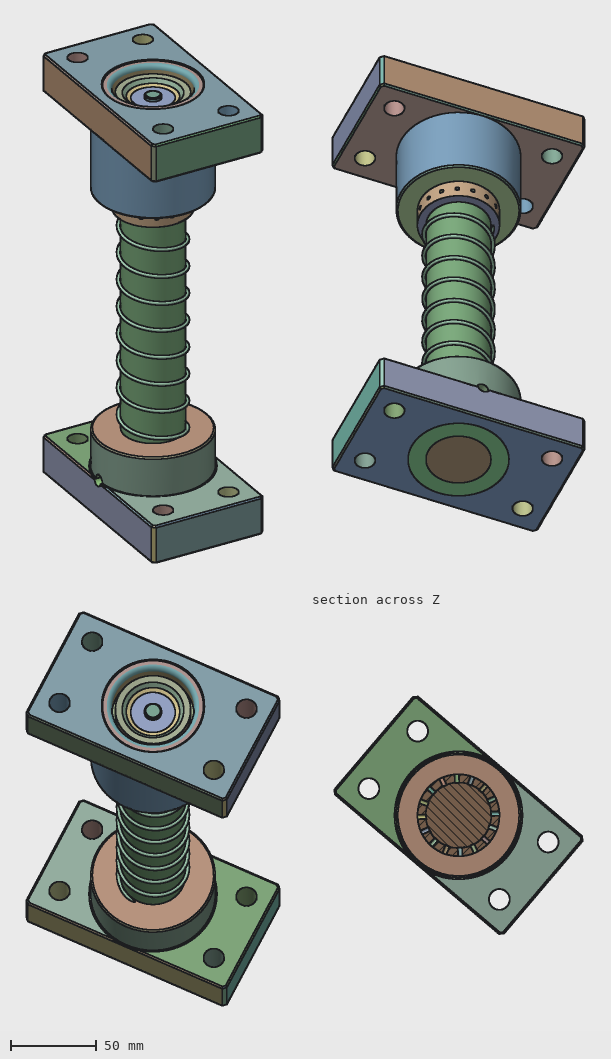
import cadquery as cq
import math


total_height = 278.96
plate_thickness = 25.0
upper_plate_bottom = total_height - plate_thickness
collar_top = 50.0
bushing_length = 45.0
bushing_bottom = upper_plate_bottom - bushing_length
cage_overhang = 12.2
cage_bottom = bushing_bottom - cage_overhang

plate_length = 130.0
plate_width = 75.0
plate_turn = -40.35
plate_corner_chamfer = 2.0
plate_edge_chamfer = 1.0
bolt_spacing_long = 100.0
bolt_spacing_short = 44.0
bolt_hole_diameter = 12.0
plate_bore_radius = 29.5
bore_edge_chamfer = 0.6

flange_radius = 36.4
flange_chamfer = 1.0
joint_recess_radius = 37.4
joint_recess_depth = 0.5
spigot_set_back = 0.6
bushing_bore_radius = 24.0
bushing_mouth_fillet = 3.0

locking_hole_diameter = 7.0
locking_hole_depth = 12.0

pillar_radius = 19.0

cage_radius = 24.0
cage_hole_count = 16
cage_hole_diameter = 2.4
cage_hole_height = 6.0
cage_hole_first_angle = 2.5

wire_radius = 1.1
spring_mean_radius = 20.25
spring_pitch = 17.95
spring_zero_height = 51.1

disc_radius = 22.0
disc_rim_radius = 18.0
disc_step_radius = 15.6
disc_floor_radius = 13.0
disc_set_back = 5.2
disc_rim_drop = 0.5
disc_step_drop = 2.3
disc_floor_drop = 1.0
disc_floor_thickness = 3.0
disc_top = total_height - disc_set_back
disc_rim = disc_top - disc_rim_drop
disc_step = disc_rim - disc_step_drop
disc_floor = disc_step - disc_floor_drop
disc_bottom = disc_floor - disc_floor_thickness
screw_head_radius = 5.0
screw_head_height = 2.3
screw_head_chamfer = 0.7
screw_shank_radius = 3.0
screw_length = 20.0


def cylinder(radius, bottom, top):
    return cq.Workplane("XY").workplane(offset=bottom).circle(radius).extrude(top - bottom)


def turned_to_plate(shape):
    return shape.rotate((0, 0, 0), (0, 0, 1), plate_turn)


def flange_plate(bottom):
    plate = (
        cq.Workplane("XY")
        .workplane(offset=bottom)
        .rect(plate_length, plate_width)
        .extrude(plate_thickness)
        .edges("|Z")
        .chamfer(plate_corner_chamfer)
        .faces("<Z or >Z")
        .chamfer(plate_edge_chamfer)
        .faces(">Z")
        .workplane(origin=(0, 0, 0))
        .rect(bolt_spacing_long, bolt_spacing_short, forConstruction=True)
        .vertices()
        .hole(bolt_hole_diameter)
    )
    top = bottom + plate_thickness
    plate = plate.cut(cylinder(plate_bore_radius, bottom, top))
    return turned_to_plate(plate)


def locking_hole():
    hole = (
        cq.Workplane("XZ", origin=(0, -plate_width / 2, plate_thickness))
        .circle(locking_hole_diameter / 2)
        .extrude(-locking_hole_depth)
    )
    return turned_to_plate(hole)


lower_seat = plate_thickness - joint_recess_depth
lower_plate = flange_plate(0)
lower_plate = lower_plate.cut(locking_hole())
lower_plate = lower_plate.cut(cylinder(joint_recess_radius, lower_seat, plate_thickness))

upper_plate = flange_plate(upper_plate_bottom)
upper_plate = upper_plate.faces(">Z").edges(cq.selectors.RadiusNthSelector(-1)).chamfer(bore_edge_chamfer)

collar = cylinder(flange_radius, lower_seat, collar_top)
collar = collar.faces(">Z").chamfer(flange_chamfer)
collar = collar.union(cylinder(plate_bore_radius, 0, lower_seat))
collar = collar.cut(cylinder(pillar_radius, 0, collar_top)).cut(locking_hole())

spigot_top = total_height - spigot_set_back
bushing = cylinder(flange_radius, bushing_bottom, upper_plate_bottom)
bushing = bushing.faces("<Z").chamfer(flange_chamfer)
bushing = bushing.union(cylinder(plate_bore_radius, upper_plate_bottom, spigot_top))
bushing = bushing.cut(cylinder(bushing_bore_radius, bushing_bottom, spigot_top))
bushing_mouth = bushing.faces(">Z").edges(cq.selectors.RadiusNthSelector(0))
bushing = bushing_mouth.fillet(bushing_mouth_fillet)

cage = cylinder(cage_radius, cage_bottom, disc_bottom)
cage = cage.cut(cylinder(pillar_radius, cage_bottom, disc_bottom))
for index in range(cage_hole_count):
    angle = cage_hole_first_angle + index * 360 / cage_hole_count
    ball_hole = (
        cq.Workplane("YZ", origin=(0, 0, cage_bottom + cage_hole_height))
        .circle(cage_hole_diameter / 2)
        .extrude(cage_radius)
        .rotate((0, 0, 0), (0, 0, 1), angle)
    )
    cage = cage.cut(ball_hole)

disc_outline = [
    (0, disc_bottom),
    (disc_radius, disc_bottom),
    (disc_radius, disc_top),
    (disc_rim_radius, disc_rim),
    (disc_step_radius, disc_step),
    (disc_floor_radius, disc_floor),
    (0, disc_floor),
]
disc = cq.Workplane("XZ").polyline(disc_outline).close().revolve(360, (0, 0, 0), (0, 1, 0))

screw = cylinder(screw_head_radius, disc_floor, disc_floor + screw_head_height)
screw = screw.faces(">Z").chamfer(screw_head_chamfer)
screw = screw.union(cylinder(screw_shank_radius, disc_floor - screw_length, disc_floor))
disc = disc.cut(screw)

pillar = cylinder(pillar_radius, 0, disc_bottom).cut(screw)

spare_turns = 2
turns = math.ceil((cage_bottom - collar_top) / spring_pitch) + spare_turns
helix_start = spring_zero_height - spring_pitch
helix = cq.Wire.makeHelix(
    spring_pitch,
    turns * spring_pitch,
    spring_mean_radius,
    center=cq.Vector(0, 0, helix_start),
    lefthand=True,
)
wire = (
    cq.Workplane("XZ", origin=(0, 0, helix_start))
    .center(spring_mean_radius, 0)
    .circle(wire_radius)
    .sweep(cq.Workplane(helix), isFrenet=True)
)
spring = wire.intersect(cylinder(bushing_bore_radius, collar_top, cage_bottom))

result = cq.Compound.makeCompound(
    [
        lower_plate.val(),
        upper_plate.val(),
        collar.val(),
        bushing.val(),
        cage.val(),
        disc.val(),
        screw.val(),
        pillar.val(),
        *spring.vals(),
    ]
)